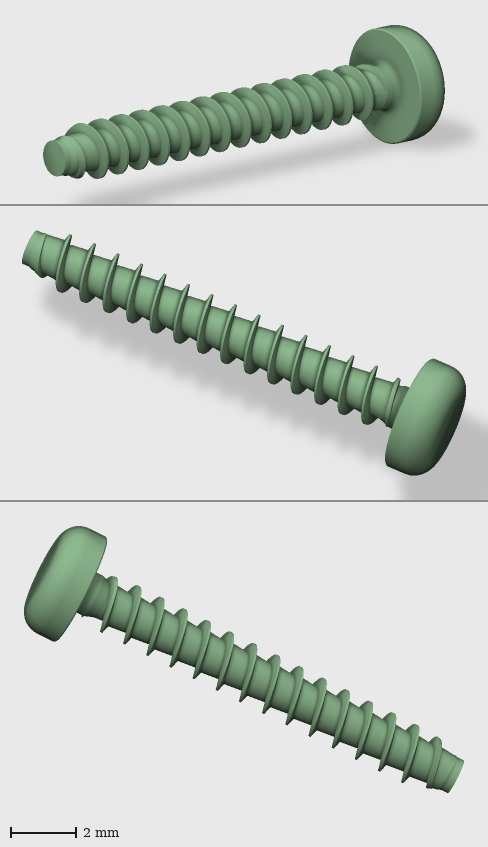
import cadquery as cq
import math

total_length = 14.3
head_radius = 1.8
head_height = 1.32
crown_radius = 0.7
head_edge_chamfer = 0.05

shank_length = total_length - head_height
neck_radius = 0.69
neck_length = 0.43
neck_fillet = 0.19
neck_taper_length = 0.36
core_radius = 0.56
tip_point_height = 0.03

pitch = 0.8
crest_radius = 0.9
crest_width = 0.07
thread_base_width = 0.23
groove_high_radius = 0.63
groove_low_radius = 0.57
thread_root_radius = 0.49
turn_gap = 0.01
first_full_crest = 1.17

thread_start = 0.4
thread_start_radius = 0.76
runout_start = 1.2
runout_end = 0.05
envelope_clearance = 0.07

tip_y = -shank_length
tip_edge_y = tip_y + tip_point_height


def revolve_about_y(profile):
    return profile.close().revolve(360, (0, 0, 0), (0, 1, 0))


def make_head():
    head = cq.Workplane("XZ").circle(head_radius).extrude(-head_height)
    head = head.faces(">Y").edges().fillet(crown_radius)
    return head.faces("<Y").edges().chamfer(head_edge_chamfer)


def make_shank():
    overlap_y = head_height / 2
    fillet_center_x = neck_radius + neck_fillet
    profile = (
        cq.Workplane("XY")
        .moveTo(0, overlap_y)
        .lineTo(fillet_center_x, overlap_y)
        .lineTo(fillet_center_x, 0)
        .radiusArc((neck_radius, -neck_fillet), -neck_fillet)
        .lineTo(neck_radius, -neck_length)
        .lineTo(core_radius, -neck_length - neck_taper_length)
        .lineTo(core_radius, tip_edge_y)
        .lineTo(0, tip_y)
    )
    return revolve_about_y(profile)


def make_thread_envelope():
    """Solid of revolution that the thread must stay inside, so that its crest fades at both ends."""
    start_slope = (first_full_crest - thread_start) / (crest_radius - thread_start_radius)
    runout_slope = (runout_start - runout_end) / (crest_radius - thread_root_radius)
    envelope_radius = crest_radius + envelope_clearance
    return revolve_about_y(
        cq.Workplane("XY")
        .moveTo(0, -thread_start)
        .lineTo(thread_start_radius, -thread_start)
        .lineTo(envelope_radius, -first_full_crest - start_slope * envelope_clearance)
        .lineTo(envelope_radius, tip_y + runout_start + runout_slope * envelope_clearance)
        .lineTo(thread_root_radius, tip_y + runout_end)
        .lineTo(0, tip_y + runout_end)
    )


def make_thread_turn(start_y):
    """One turn of the rib with a sloping groove floor on its tip side."""
    flank_y = thread_base_width / 2
    crest_y = crest_width / 2
    groove_end_y = flank_y - pitch + turn_gap
    section = (
        cq.Workplane("XY", origin=(0, start_y, 0))
        .moveTo(thread_root_radius, flank_y)
        .lineTo(crest_radius, crest_y)
        .lineTo(crest_radius, -crest_y)
        .lineTo(groove_high_radius, -flank_y)
        .lineTo(groove_low_radius, groove_end_y)
        .lineTo(thread_root_radius, groove_end_y)
        .close()
    )
    helix = cq.Wire.makeHelix(pitch, pitch, crest_radius)
    helix = helix.rotate(cq.Vector(0, 0, 0), cq.Vector(1, 0, 0), -90)
    helix = helix.translate(cq.Vector(0, start_y, 0))
    return section.sweep(cq.Workplane(obj=helix), isFrenet=True)


result = make_head().union(make_shank())
envelope = make_thread_envelope()
turns_to_tip = math.floor((shank_length - first_full_crest) / pitch) + 1
for turn in range(-1, turns_to_tip):
    turn_start_y = -first_full_crest - (turn + 1) * pitch
    result = result.union(make_thread_turn(turn_start_y).intersect(envelope))